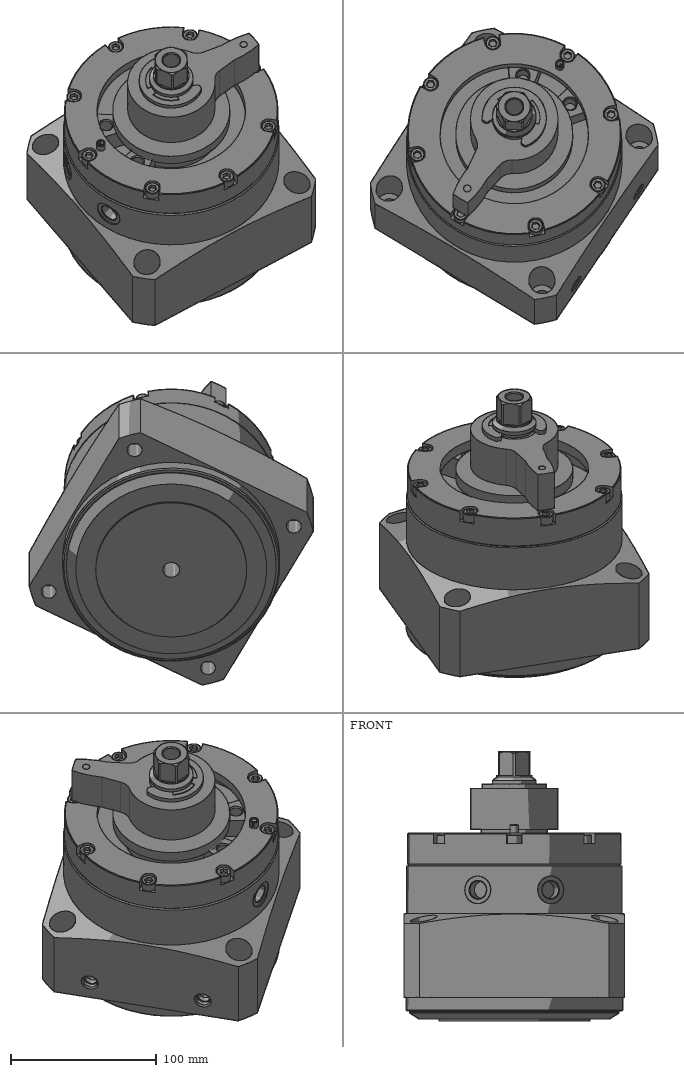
import cadquery as cq
import math

TOTAL_HEIGHT = 185.5

BLOCK_SIDE = 152.0
BLOCK_CORNER_RADIUS = 100.0
BLOCK_BOTTOM = 16.3
BLOCK_TOP = 74.2
BLOCK_CONE_ANGLE = 15.0

BASE_RADIUS = 74.8
BASE_BOTTOM = 7.8
BASE_CHAMFER = 1.0
GROOVE_RADIUS = 69.7
PLATE_TOP = 6.3
PLATE_RIM_BOTTOM = 5.5
PLATE_RADIUS = 72.2
PLATE_FOOT_RADIUS = 65.7
PAD_HEIGHT = 1.5
PAD_RADIUS = 52.0

BODY_RADIUS = 74.2
BODY_TOP = 106.8
COVER_RADIUS = 73.5
COVER_TOP = 129.5
COVER_BOTTOM_CHAMFER = 1.1
COVER_TOP_CHAMFER = 0.5

OPENING_RADIUS = 51.0
CAVITY_RADIUS = 62.7
CAVITY_TOP = 122.2

STOP_INNER_RADIUS = 34.3
STOP_CENTRE_ANGLE = 25.0
STOP_HALF_ANGLE = 11.8
STOP_HOLE_CIRCLE_RADIUS = 45.5
STOP_HOLE_DIAMETER = 8.3
STOP_HOLE_MOUTH_DIAMETER = 10.0
STOP_HOLE_DEPTH = 11.1

MOUNT_HOLE_SPACING = 124.5
MOUNT_HOLE_DIAMETER = 10.2
MOUNT_COUNTERBORE_DIAMETER = 18.0
MOUNT_COUNTERBORE_FLOOR = BLOCK_BOTTOM + 18.5

PORT_ANGLE = 20.0
PORT_HEIGHT = 90.3
PORT_FACE_RADIUS = 73.0
PORT_SPOTFACE_DIAMETER = 19.0
PORT_DIAMETER = 12.0
PORT_MOUTH_DIAMETER = 13.0
PORT_DEPTH = 10.8

SIDE_HOLE_SPACING = 79.8
SIDE_HOLE_HEIGHT = 30.5
SIDE_HOLE_MOUTH_DIAMETER = 12.0
SIDE_HOLE_THREAD_DIAMETER = 10.0
SIDE_HOLE_DRILL_DIAMETER = 8.3
SIDE_HOLE_THREAD_DEPTH = 3.7
SIDE_HOLE_DRILL_DEPTH = 7.5
DRILL_TIP_ANGLE = 118.0

SCREW_COUNT = 8
SCREW_CIRCLE_RADIUS = 68.3
SCREW_SLOT_WIDTH = 10.8
SCREW_SLOT_DEPTH = 7.5
SCREW_HEAD_DIAMETER = 9.6
SCREW_HEAD_HEIGHT = 6.1
SCREW_HEAD_CHAMFER = 0.4
SCREW_SOCKET_FLATS = 5.0
SCREW_SOCKET_DEPTH = 3.0

ROLL_PIN_OFFSET = 58.5
ROLL_PIN_DIAMETER = 6.0
ROLL_PIN_TOP = 135.2
ROLL_PIN_CHAMFER = 0.5
ROLL_PIN_BORE_DIAMETER = 4.0
ROLL_PIN_BORE_DEPTH = 2.2
ROLL_PIN_SLIT_WIDTH = 1.1

BORE_DIAMETER = 11.5
BORE_MOUTH_DIAMETER = 13.0
NECK_RADIUS = 32.5
DISC_RADIUS = 40.3
DISC_BOTTOM = 121.5
SHOULDER_RADIUS = 22.8
JOURNAL_RADIUS = 15.0
HEX_SEAT_RADIUS = 12.2
JOURNAL_TOP = 165.7
HEX_SEAT_BOTTOM = 167.9
HEX_BOTTOM = 169.0
HEX_FLATS = 21.9
HEX_CORNER_RADIUS = 12.2
HEX_TOP_RADIUS = 11.0

LEVER_BOTTOM = 131.9
LEVER_TOP = 160.0
HUB_RADIUS = 30.0
LEVER_TIP = 69.0
LEVER_TIP_HALF_WIDTH = 6.0
LEVER_HALF_WIDTH = 7.8
LEVER_FLANK_MIDDLE = 57.5
LEVER_FLANK_END = 47.1
LEVER_ROOT_HALF_WIDTH = 12.0
LEVER_ROOT = 18.5
LEVER_ROOT_FILLET = 10.0
LEVER_MARK_OFFSET = 60.1
LEVER_MARK_DIAMETER = 5.0
LEVER_MARK_DEPTH = 0.2

CLIP_RADIUS = 22.0
CLIP_THICKNESS = 3.0
CLIP_SEAT_RADIUS = 13.0
CLIP_SLOT_RADIUS = 17.6
CLIP_SLOT_DEPTH = 0.5
CLIP_SLOT_START_ANGLE = 11.0
CLIP_SLOT_END_ANGLE = 73.0
CLIP_MOUTH_HALF_WIDTH = 14.0
CLIP_SHOULDER_HALF_WIDTH = 11.7
CLIP_SHOULDER = 8.2
CLIP_ARM_END = 13.4
CLIP_ARM_FILLET = 1.7


def cylinder(radius, bottom, top):
    return cq.Workplane("XY", origin=(0, 0, bottom)).circle(radius).extrude(top - bottom)


def revolve(profile):
    """Turn a closed (radius, height) outline about the Z axis."""
    return cq.Workplane("XZ").polyline(profile).close().revolve(360, (0, 0), (0, 1))


def polar(radius, angle):
    """Point at an angle measured from -Y towards +X."""
    turn = math.radians(angle)
    return (radius * math.sin(turn), -radius * math.cos(turn))


def ring_sector(inner, outer, start_angle, end_angle, bottom, top):
    middle = (start_angle + end_angle) / 2
    return (
        cq.Workplane("XY", origin=(0, 0, bottom))
        .moveTo(*polar(inner, start_angle))
        .lineTo(*polar(outer, start_angle))
        .threePointArc(polar(outer, middle), polar(outer, end_angle))
        .lineTo(*polar(inner, end_angle))
        .threePointArc(polar(inner, middle), polar(inner, start_angle))
        .close()
        .extrude(top - bottom)
    )


def drill(profile, point, direction):
    """Turned cutter: (radius, depth) outline swept round an axis that enters the part at a point."""
    outline = [(0, 0)] + profile
    cutter = cq.Workplane("XZ").polyline([(r, -d) for r, d in outline]).close()
    cutter = cutter.revolve(360, (0, 0), (0, 1))
    place = cq.Plane(origin=point, normal=tuple(-c for c in direction))
    return cq.Workplane(obj=cutter.val().moved(cq.Location(place)))


def mounting_block():
    drop = (BLOCK_CORNER_RADIUS - BODY_RADIUS) * math.tan(math.radians(BLOCK_CONE_ANGLE))
    turned = revolve([
        (0, BLOCK_BOTTOM),
        (BLOCK_CORNER_RADIUS, BLOCK_BOTTOM),
        (BLOCK_CORNER_RADIUS, BLOCK_TOP - drop),
        (BODY_RADIUS, BLOCK_TOP),
        (0, BLOCK_TOP),
    ])
    square = cq.Workplane("XY").rect(BLOCK_SIDE, BLOCK_SIDE).extrude(TOTAL_HEIGHT)
    return turned.intersect(square)


def turned_base():
    return revolve([
        (0, 0),
        (PAD_RADIUS, 0),
        (PAD_RADIUS, PAD_HEIGHT),
        (PLATE_FOOT_RADIUS, PAD_HEIGHT),
        (PLATE_RADIUS, PLATE_RIM_BOTTOM),
        (PLATE_RADIUS, PLATE_TOP),
        (GROOVE_RADIUS, PLATE_TOP),
        (GROOVE_RADIUS, BASE_BOTTOM - BASE_CHAMFER),
        (BASE_RADIUS - BASE_CHAMFER, BASE_BOTTOM - BASE_CHAMFER),
        (BASE_RADIUS, BASE_BOTTOM),
        (BASE_RADIUS, BLOCK_BOTTOM),
        (0, BLOCK_BOTTOM),
    ])


def round_body_and_cover():
    return revolve([
        (0, BLOCK_TOP),
        (BODY_RADIUS, BLOCK_TOP),
        (BODY_RADIUS, BODY_TOP),
        (COVER_RADIUS - COVER_BOTTOM_CHAMFER, BODY_TOP),
        (COVER_RADIUS, BODY_TOP + COVER_BOTTOM_CHAMFER),
        (COVER_RADIUS, COVER_TOP - COVER_TOP_CHAMFER),
        (COVER_RADIUS - COVER_TOP_CHAMFER, COVER_TOP),
        (0, COVER_TOP),
    ])


def cavity():
    opening = cylinder(OPENING_RADIUS, BODY_TOP, COVER_TOP)
    return opening.union(cylinder(CAVITY_RADIUS, BODY_TOP, CAVITY_TOP))


def stop_block(centre_angle):
    block = ring_sector(
        STOP_INNER_RADIUS, CAVITY_RADIUS,
        centre_angle - STOP_HALF_ANGLE, centre_angle + STOP_HALF_ANGLE,
        BODY_TOP, CAVITY_TOP,
    )
    hole_radius = STOP_HOLE_DIAMETER / 2
    mouth_radius = STOP_HOLE_MOUTH_DIAMETER / 2
    hole = drill(
        [
            (mouth_radius, 0),
            (hole_radius, mouth_radius - hole_radius),
            (hole_radius, STOP_HOLE_DEPTH),
            (0, STOP_HOLE_DEPTH),
        ],
        (*polar(STOP_HOLE_CIRCLE_RADIUS, centre_angle), CAVITY_TOP),
        (0, 0, -1),
    )
    return block.cut(hole)


def mounting_holes():
    corners = cq.Workplane("XY").rect(MOUNT_HOLE_SPACING, MOUNT_HOLE_SPACING, forConstruction=True).vertices()
    through = corners.circle(MOUNT_HOLE_DIAMETER / 2).extrude(BLOCK_TOP)
    counterbores = corners.circle(MOUNT_COUNTERBORE_DIAMETER / 2).extrude(BLOCK_TOP)
    counterbores = counterbores.cut(cylinder(TOTAL_HEIGHT, 0, MOUNT_COUNTERBORE_FLOOR))
    return through.union(counterbores)


def air_port(angle):
    spot_radius = PORT_SPOTFACE_DIAMETER / 2
    mouth_radius = PORT_MOUTH_DIAMETER / 2
    port_radius = PORT_DIAMETER / 2
    face_depth = BODY_RADIUS - PORT_FACE_RADIUS
    x, y = polar(1, angle)
    return drill(
        [
            (spot_radius, 0),
            (spot_radius, face_depth),
            (mouth_radius, face_depth),
            (port_radius, face_depth + mouth_radius - port_radius),
            (port_radius, PORT_DEPTH),
            (0, PORT_DEPTH),
        ],
        (BODY_RADIUS * x, BODY_RADIUS * y, PORT_HEIGHT),
        (-x, -y, 0),
    )


def side_hole(y):
    mouth_radius = SIDE_HOLE_MOUTH_DIAMETER / 2
    thread_radius = SIDE_HOLE_THREAD_DIAMETER / 2
    drill_radius = SIDE_HOLE_DRILL_DIAMETER / 2
    tip_depth = drill_radius / math.tan(math.radians(DRILL_TIP_ANGLE / 2))
    return drill(
        [
            (mouth_radius, 0),
            (thread_radius, mouth_radius - thread_radius),
            (thread_radius, SIDE_HOLE_THREAD_DEPTH),
            (drill_radius, SIDE_HOLE_THREAD_DEPTH),
            (drill_radius, SIDE_HOLE_DRILL_DEPTH),
            (0, SIDE_HOLE_DRILL_DEPTH + tip_depth),
        ],
        (-BLOCK_SIDE / 2, y, SIDE_HOLE_HEIGHT),
        (1, 0, 0),
    )


def screw_slot(angle):
    """Round pocket in the cover that opens outwards through the rim."""
    floor = COVER_TOP - SCREW_SLOT_DEPTH
    plane = cq.Workplane("XY", origin=(0, -SCREW_CIRCLE_RADIUS, floor))
    pocket = plane.circle(SCREW_SLOT_WIDTH / 2).extrude(SCREW_SLOT_DEPTH)
    channel = plane.center(0, -SCREW_SLOT_WIDTH / 2).rect(SCREW_SLOT_WIDTH, SCREW_SLOT_WIDTH)
    slot = pocket.union(channel.extrude(SCREW_SLOT_DEPTH))
    return slot.rotate((0, 0, 0), (0, 0, 1), angle)


def screw_head(angle):
    floor = COVER_TOP - SCREW_SLOT_DEPTH
    socket_corners = SCREW_SOCKET_FLATS / math.cos(math.radians(30))
    head = (
        cq.Workplane("XY", origin=(0, -SCREW_CIRCLE_RADIUS, floor))
        .circle(SCREW_HEAD_DIAMETER / 2)
        .extrude(SCREW_HEAD_HEIGHT)
        .faces(">Z")
        .chamfer(SCREW_HEAD_CHAMFER)
        .faces(">Z")
        .workplane()
        .polygon(6, socket_corners)
        .cutBlind(-SCREW_SOCKET_DEPTH)
    )
    return head.rotate((0, 0, 0), (0, 0, 1), angle)


def roll_pin():
    outer_radius = ROLL_PIN_DIAMETER / 2
    bore_radius = ROLL_PIN_BORE_DIAMETER / 2
    height = ROLL_PIN_TOP - COVER_TOP
    tip_depth = bore_radius / math.tan(math.radians(DRILL_TIP_ANGLE / 2))
    pin = cylinder(outer_radius, COVER_TOP, ROLL_PIN_TOP).faces(">Z").chamfer(ROLL_PIN_CHAMFER)
    bore = drill(
        [
            (bore_radius, 0),
            (bore_radius, ROLL_PIN_BORE_DEPTH - tip_depth),
            (0, ROLL_PIN_BORE_DEPTH),
        ],
        (0, 0, ROLL_PIN_TOP),
        (0, 0, -1),
    )
    slit = cq.Workplane("XY", origin=(-outer_radius / 2, 0, COVER_TOP))
    slit = slit.rect(outer_radius, ROLL_PIN_SLIT_WIDTH).extrude(height)
    return pin.cut(bore).cut(slit).translate((0, -ROLL_PIN_OFFSET, 0))


def make_housing():
    housing = turned_base().union(mounting_block()).union(round_body_and_cover()).cut(cavity())
    for side in (-1, 1):
        housing = housing.union(stop_block(side * STOP_CENTRE_ANGLE))
        housing = housing.cut(air_port(side * PORT_ANGLE))
        housing = housing.cut(side_hole(side * SIDE_HOLE_SPACING / 2))
    housing = housing.cut(mounting_holes())
    for index in range(SCREW_COUNT):
        angle = index * 360 / SCREW_COUNT
        housing = housing.cut(screw_slot(angle)).union(screw_head(angle))
    return housing.union(roll_pin()).cut(cylinder(BORE_DIAMETER / 2, 0, BODY_TOP))


def hexagon_head():
    hexagon = (
        cq.Workplane("XY", origin=(0, 0, HEX_BOTTOM))
        .transformed(rotate=(0, 0, 30))
        .polygon(6, HEX_FLATS / math.cos(math.radians(30)))
        .extrude(TOTAL_HEIGHT - HEX_BOTTOM)
    )
    turned = cylinder(HEX_CORNER_RADIUS, HEX_BOTTOM, TOTAL_HEIGHT)
    turned = turned.faces(">Z").chamfer(HEX_CORNER_RADIUS - HEX_TOP_RADIUS)
    return hexagon.intersect(turned)


def make_shaft():
    turned = revolve([
        (0, BODY_TOP),
        (NECK_RADIUS, BODY_TOP),
        (NECK_RADIUS, DISC_BOTTOM),
        (DISC_RADIUS, DISC_BOTTOM),
        (DISC_RADIUS, COVER_TOP),
        (SHOULDER_RADIUS, COVER_TOP),
        (SHOULDER_RADIUS, LEVER_BOTTOM),
        (JOURNAL_RADIUS, LEVER_BOTTOM),
        (JOURNAL_RADIUS, LEVER_TOP),
        (CLIP_SEAT_RADIUS, LEVER_TOP),
        (CLIP_SEAT_RADIUS, LEVER_TOP + CLIP_THICKNESS),
        (JOURNAL_RADIUS, LEVER_TOP + CLIP_THICKNESS),
        (JOURNAL_RADIUS, JOURNAL_TOP),
        (HEX_SEAT_RADIUS, HEX_SEAT_BOTTOM),
        (HEX_SEAT_RADIUS, HEX_BOTTOM),
        (0, HEX_BOTTOM),
    ])
    bore_radius = BORE_DIAMETER / 2
    mouth_radius = BORE_MOUTH_DIAMETER / 2
    bore = drill(
        [
            (mouth_radius, 0),
            (bore_radius, mouth_radius - bore_radius),
            (bore_radius, TOTAL_HEIGHT - BODY_TOP),
            (0, TOTAL_HEIGHT - BODY_TOP),
        ],
        (0, 0, TOTAL_HEIGHT),
        (0, 0, -1),
    )
    return turned.union(hexagon_head()).cut(bore)


def lever_arm():
    """Arm along +Y with bowed flanks, running into the hub."""
    tip_corner = math.sqrt(LEVER_TIP**2 - LEVER_TIP_HALF_WIDTH**2)
    return (
        cq.Workplane("XY", origin=(0, 0, LEVER_BOTTOM))
        .moveTo(-LEVER_ROOT_HALF_WIDTH, LEVER_ROOT)
        .lineTo(LEVER_ROOT_HALF_WIDTH, LEVER_ROOT)
        .lineTo(LEVER_HALF_WIDTH, LEVER_FLANK_END)
        .threePointArc((LEVER_HALF_WIDTH, LEVER_FLANK_MIDDLE), (LEVER_TIP_HALF_WIDTH, tip_corner))
        .threePointArc((0, LEVER_TIP), (-LEVER_TIP_HALF_WIDTH, tip_corner))
        .threePointArc((-LEVER_HALF_WIDTH, LEVER_FLANK_MIDDLE), (-LEVER_HALF_WIDTH, LEVER_FLANK_END))
        .close()
        .extrude(LEVER_TOP - LEVER_BOTTOM)
    )


def make_lever():
    lever = cylinder(HUB_RADIUS, LEVER_BOTTOM, LEVER_TOP).union(lever_arm())
    root_zone = cq.selectors.BoxSelector(
        (-LEVER_ROOT_HALF_WIDTH, LEVER_ROOT, 0),
        (LEVER_ROOT_HALF_WIDTH, HUB_RADIUS, TOTAL_HEIGHT),
    )
    lever = lever.edges("|Z").edges(root_zone).fillet(LEVER_ROOT_FILLET)
    lever = lever.cut(cylinder(JOURNAL_RADIUS, LEVER_BOTTOM, LEVER_TOP))
    mark = cylinder(LEVER_MARK_DIAMETER / 2, LEVER_TOP - LEVER_MARK_DEPTH, LEVER_TOP)
    return lever.cut(mark.translate((0, LEVER_MARK_OFFSET, 0)))


def make_clip():
    top = LEVER_TOP + CLIP_THICKNESS
    clip = cylinder(CLIP_RADIUS, LEVER_TOP, top).cut(cylinder(CLIP_SEAT_RADIUS, LEVER_TOP, top))
    for side in (-1, 1):
        clip = clip.cut(ring_sector(
            CLIP_SEAT_RADIUS, CLIP_SLOT_RADIUS,
            side * CLIP_SLOT_START_ANGLE, side * CLIP_SLOT_END_ANGLE,
            top - CLIP_SLOT_DEPTH, top,
        ))
    mouth = (
        cq.Workplane("XY", origin=(0, 0, LEVER_TOP))
        .polyline([
            (-CLIP_SHOULDER_HALF_WIDTH, CLIP_SHOULDER),
            (CLIP_SHOULDER_HALF_WIDTH, CLIP_SHOULDER),
            (CLIP_MOUTH_HALF_WIDTH, CLIP_ARM_END),
            (CLIP_RADIUS, CLIP_ARM_END),
            (CLIP_RADIUS, CLIP_RADIUS),
            (-CLIP_RADIUS, CLIP_RADIUS),
            (-CLIP_RADIUS, CLIP_ARM_END),
            (-CLIP_MOUTH_HALF_WIDTH, CLIP_ARM_END),
        ])
        .close()
        .extrude(CLIP_THICKNESS)
    )
    return clip.cut(mouth).faces(">Y").edges("|Z").fillet(CLIP_ARM_FILLET)


housing = make_housing()
shaft = make_shaft()
lever = make_lever()
clip = make_clip()

result = cq.Compound.makeCompound([housing.val(), shaft.val(), lever.val(), clip.val()])